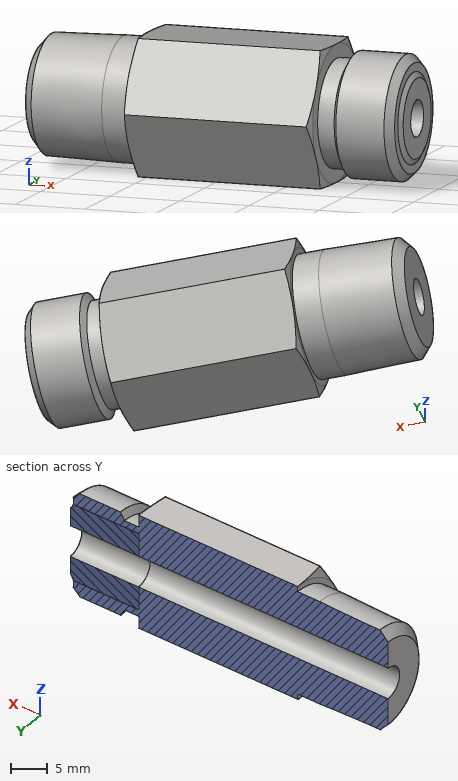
import cadquery as cq
import math

LENGTH = 53.8
HEX_START = 15.3
HEX_END = 42.25
BODY_END = 53.3
BORE_DIAMETER = 5.1

HEX_ACROSS_FLATS = 19.05
HEX_ACROSS_CORNERS = HEX_ACROSS_FLATS / math.cos(math.radians(30))
HEX_CHAMFER_ANGLE = 15.0

INLET_DIAMETER = 17.3
INLET_TIP_DIAMETER = 16.85
INLET_FACE_DIAMETER = 13.9
INLET_CHAMFER_LENGTH = 1.35
TAPER_END = 11.55

OUTLET_DIAMETER = 17.45
UNDERCUT_DIAMETER = 15.1
UNDERCUT_END = 44.6
UNDERCUT_ANGLE = 30.0
OUTLET_CHAMFER = 1.15

INSERT_DIAMETER = 12.7
INSERT_START = HEX_END
INSERT_FACE_DIAMETER = 11.1


def revolve_about_x(points):
    """Closed (x, radius) outline turned about the X axis."""
    return cq.Workplane("XY").polyline(points).close().revolve(360, (0, 0, 0), (1, 0, 0))


def rod(diameter, start, end):
    """Plain cylinder along X."""
    return cq.Workplane("YZ", origin=(start, 0, 0)).circle(diameter / 2).extrude(end - start)


def make_inlet_end():
    return revolve_about_x([
        (0, 0),
        (0, INLET_FACE_DIAMETER / 2),
        (INLET_CHAMFER_LENGTH, INLET_TIP_DIAMETER / 2),
        (TAPER_END, INLET_DIAMETER / 2),
        (HEX_START, INLET_DIAMETER / 2),
        (HEX_START, 0),
    ])


def make_hexagon():
    """Hexagon with flats facing up and down, its corners turned to a cone at both ends."""
    prism = (
        cq.Workplane("YZ", origin=(HEX_START, 0, 0))
        .polygon(6, HEX_ACROSS_CORNERS)
        .extrude(HEX_END - HEX_START)
    )
    face_radius = HEX_ACROSS_FLATS / 2
    corner_radius = HEX_ACROSS_CORNERS / 2
    chamfer_length = (corner_radius - face_radius) * math.tan(math.radians(HEX_CHAMFER_ANGLE))
    turned_blank = revolve_about_x([
        (HEX_START, 0),
        (HEX_START, face_radius),
        (HEX_START + chamfer_length, corner_radius),
        (HEX_END - chamfer_length, corner_radius),
        (HEX_END, face_radius),
        (HEX_END, 0),
    ])
    return prism.intersect(turned_blank)


def make_outlet_end():
    undercut_depth = (OUTLET_DIAMETER - UNDERCUT_DIAMETER) / 2
    wall_length = undercut_depth * math.tan(math.radians(UNDERCUT_ANGLE))
    return revolve_about_x([
        (HEX_END, 0),
        (HEX_END, UNDERCUT_DIAMETER / 2),
        (UNDERCUT_END, UNDERCUT_DIAMETER / 2),
        (UNDERCUT_END + wall_length, OUTLET_DIAMETER / 2),
        (BODY_END - OUTLET_CHAMFER, OUTLET_DIAMETER / 2),
        (BODY_END, OUTLET_DIAMETER / 2 - OUTLET_CHAMFER),
        (BODY_END, 0),
    ])


def make_housing():
    """Inlet end, hexagon and outlet end in one piece, bored through and recessed for the insert."""
    housing = make_inlet_end().union(make_hexagon()).union(make_outlet_end())
    bore = rod(BORE_DIAMETER, 0, LENGTH)
    insert_recess = rod(INSERT_DIAMETER, INSERT_START, LENGTH)
    return housing.cut(bore).cut(insert_recess).solids()


def make_insert():
    """Bored plug that stands proud of the housing with a conical nose."""
    return revolve_about_x([
        (INSERT_START, BORE_DIAMETER / 2),
        (INSERT_START, INSERT_DIAMETER / 2),
        (BODY_END, INSERT_DIAMETER / 2),
        (LENGTH, INSERT_FACE_DIAMETER / 2),
        (LENGTH, BORE_DIAMETER / 2),
    ])


housing = make_housing()
insert = make_insert()
result = cq.Compound.makeCompound([housing.val(), insert.val()])